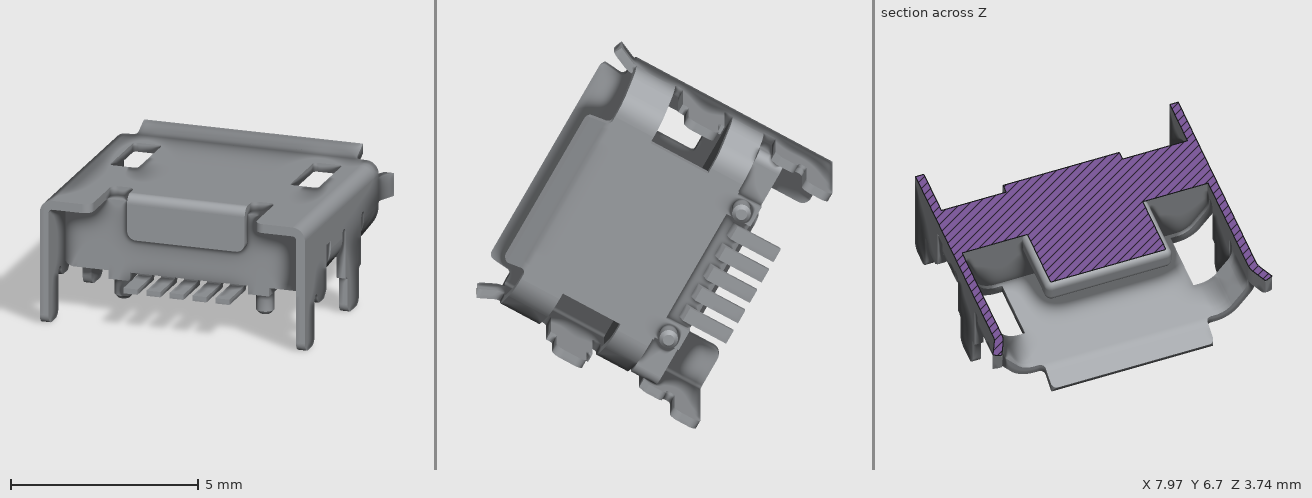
import cadquery as cq
import math


sheet = 0.25
shell_width = 7.5
shell_height = 2.5
shell_length = 6.0
half_width = shell_width / 2
top_bend_radius = 0.35
leg_bottom = -1.0

floor_half_width = 2.58
taper_angle = math.radians(52.5)
floor_bend_radius = 0.843
side_bend_top = 1.27
side_bend_radius = 0.854

wrap_rear = 2.11
slot_width = 0.24
rear_slot_start = 3.06
front_slot_start = 4.58
slot_top = 1.49
side_gap_rear = 1.74
floor_half_strip = 2.4
floor_lip_half_width = 2.34
floor_lip_rear = 2.08

mid_leg_start = 3.48
mid_leg_end = 4.40
shoulder_z = 0.05
shoulder_run = 0.1
leg_corner_radius = 0.25
rear_leg_width = 0.8
leg_relief_radius = 0.12
leg_relief_top = 0.36
side_tab_chamfer = 0.18
tab_round = 0.15

flare_angle = math.radians(25)
flare_radius = 0.35
flare_reach = 0.7
flap_reach = 0.687
top_lip_width = 6.2
bottom_lip_width = 4.62
flap_width = 0.65
flap_center_z = 1.695
lip_root_radius = 0.15
flap_root_radius = 0.04
flare_tip_radius = 0.15

window_inner = 2.15
window_outer = 2.95
window_rear = 3.36
window_front = 5.35
window_corner = 0.1
notch_inner = 1.665
notch_outer = 2.31
notch_front = 1.74
notch_corner = 0.18
wing_corner = 0.25

cover_rear = 1.10
cover_bottom = 1.25
cover_corner = 0.25

insert_rear = cover_rear + sheet
insert_front = 2.95
insert_half_width = 3.54
insert_bottom = 0.24
insert_corner = 0.3
foot_outer = 2.27
tongue_width = 3.6
tongue_bottom = 1.33
tongue_thickness = 0.62
tongue_edge_radius = 0.18
tongue_front = 4.88
peg_spacing = 4.0
peg_y = 1.81
peg_diameter = 0.5
peg_bottom = -0.62
peg_chamfer = 0.1

contact_count = 5
contact_pitch = 0.65
contact_width = 0.4
contact_thickness = 0.15
contact_rear = 0.33
contact_bend_y = 1.5
contact_rise = 0.2


def box(x0, x1, y0, y1, z0, z1):
    return cq.Workplane("XY").box(x1 - x0, y1 - y0, z1 - z0, centered=False).translate((x0, y0, z0))


def both_sides(body):
    return body.union(body.mirror("YZ"))


def along_y(profile, y0, y1):
    """Extrude an XZ sketch from y0 to y1."""
    return profile.extrude(y0 - y1).translate((0, y0, 0))


def side_plate(outline):
    """Extrude a YZ sketch through the thickness of the +X side wall."""
    return outline.extrude(sheet).translate((half_width - sheet, 0, 0))


def shell_section():
    """Closed outer cross-section of the shell, in XZ."""
    s, c = math.sin(taper_angle), math.cos(taper_angle)
    s_half, c_half = math.sin(taper_angle / 2), math.cos(taper_angle / 2)
    floor_end = (floor_half_width + floor_bend_radius * s, floor_bend_radius * (1 - c))
    floor_mid = (floor_half_width + floor_bend_radius * s_half, floor_bend_radius * (1 - c_half))
    side_center_x = half_width - side_bend_radius
    turn = math.pi / 2 - taper_angle
    slope_end = (
        side_center_x + side_bend_radius * math.cos(turn),
        side_bend_top - side_bend_radius * math.sin(turn),
    )
    side_mid = (
        side_center_x + side_bend_radius * math.cos(turn / 2),
        side_bend_top - side_bend_radius * math.sin(turn / 2),
    )
    shoulder = top_bend_radius * (1 - math.sqrt(0.5))
    return (
        cq.Workplane("XZ")
        .moveTo(0, 0)
        .lineTo(floor_half_width, 0)
        .threePointArc(floor_mid, floor_end)
        .lineTo(*slope_end)
        .threePointArc(side_mid, (half_width, side_bend_top))
        .lineTo(half_width, shell_height - top_bend_radius)
        .threePointArc(
            (half_width - shoulder, shell_height - shoulder),
            (half_width - top_bend_radius, shell_height),
        )
        .lineTo(0, shell_height)
        .mirrorY()
    )


def shell_ring(y0, y1):
    """Fully wrapped stretch of the shell."""
    outer = along_y(shell_section(), y0, y1)
    return outer.cut(shell_core(y0, y1))


def shell_core(y0, y1):
    """Space enclosed by the wrapped shell."""
    return along_y(shell_section().offset2D(-sheet), y0, y1)


def top_channel():
    """Top plate and side walls down to the side bends, with side slots and gaps."""
    above_bends = box(-half_width, half_width, 0, shell_length, side_bend_top, shell_height)
    channel = shell_ring(0, shell_length).intersect(above_bends)
    for start in (rear_slot_start, front_slot_start):
        slot_end = (
            cq.Workplane("YZ")
            .center(start + slot_width / 2, slot_top - slot_width / 2)
            .circle(slot_width / 2)
            .extrude(half_width, both=True)
        )
        slot_stem = box(
            -half_width, half_width, start, start + slot_width, side_bend_top, slot_top - slot_width / 2
        )
        channel = channel.cut(slot_end).cut(slot_stem)
    gap = box(-half_width, half_width, side_gap_rear, wrap_rear, side_bend_top, slot_top)
    return channel.cut(gap)


def mid_leg():
    """Leg between the two side slots, narrowing at its shoulders."""
    upper_start = rear_slot_start + slot_width
    outline = (
        cq.Workplane("YZ")
        .moveTo(upper_start, side_bend_top)
        .lineTo(upper_start, shoulder_z)
        .lineTo(upper_start + shoulder_run, shoulder_z)
        .lineTo(mid_leg_start, 0)
        .lineTo(mid_leg_start, leg_bottom)
        .lineTo(mid_leg_end, leg_bottom)
        .lineTo(mid_leg_end, 0)
        .lineTo(front_slot_start - shoulder_run, shoulder_z)
        .lineTo(front_slot_start, shoulder_z)
        .lineTo(front_slot_start, side_bend_top)
        .close()
    )
    return side_plate(outline).edges("|X and <Z").fillet(leg_corner_radius)


def rear_leg():
    """Rear side wall: a short tab, a round relief and the rear leg."""
    tab_sag = tab_round * (1 - math.sqrt(0.5))
    relief_front = rear_leg_width + 2 * leg_relief_radius
    relief_center_z = leg_relief_top - leg_relief_radius
    outline = (
        cq.Workplane("YZ")
        .moveTo(0, side_bend_top)
        .lineTo(0, leg_bottom)
        .lineTo(rear_leg_width, leg_bottom)
        .lineTo(rear_leg_width, relief_center_z)
        .threePointArc(
            (rear_leg_width + leg_relief_radius, leg_relief_top), (relief_front, relief_center_z)
        )
        .threePointArc(
            (relief_front + tab_sag, shoulder_z + tab_sag),
            (relief_front + tab_round, shoulder_z),
        )
        .lineTo(side_gap_rear - side_tab_chamfer, shoulder_z)
        .lineTo(side_gap_rear, shoulder_z + side_tab_chamfer)
        .lineTo(side_gap_rear, side_bend_top)
        .close()
    )
    return side_plate(outline).edges("|X and <Z").fillet(leg_corner_radius)


def flare(width, reach, root_radius):
    """Outward-bent strip centred on X = 0, its outer face starting at Y = 0, Z = 0."""
    s, c = math.sin(flare_angle), math.cos(flare_angle)
    s_half, c_half = math.sin(flare_angle / 2), math.cos(flare_angle / 2)
    inner_radius = flare_radius + sheet
    straight = (reach - inner_radius * s) / c
    outer_end = (flare_radius * s, flare_radius * (1 - c))
    inner_end = (inner_radius * s, flare_radius - inner_radius * c)
    bent = (
        cq.Workplane("YZ")
        .moveTo(0, 0)
        .threePointArc((flare_radius * s_half, flare_radius * (1 - c_half)), outer_end)
        .lineTo(outer_end[0] + straight * c, outer_end[1] + straight * s)
        .lineTo(inner_end[0] + straight * c, inner_end[1] + straight * s)
        .lineTo(*inner_end)
        .threePointArc((inner_radius * s_half, flare_radius - inner_radius * c_half), (0, -sheet))
        .close()
        .extrude(width / 2 + root_radius, both=True)
    )
    half = width / 2
    tip = flare_tip_radius
    plan = (
        cq.Workplane("XY")
        .moveTo(0, 0)
        .lineTo(half + root_radius, 0)
        .radiusArc((half, root_radius), root_radius)
        .lineTo(half, reach - tip)
        .radiusArc((half - tip, reach), -tip)
        .lineTo(0, reach)
        .mirrorY()
        .extrude(shell_height, both=True)
    )
    return bent.intersect(plan)


def mouth_flares():
    """Top and bottom lips and the two side flaps."""
    top = flare(top_lip_width, flare_reach, lip_root_radius).translate((0, shell_length, shell_height))
    bottom = flare(bottom_lip_width, flare_reach, lip_root_radius).mirror("XY")
    bottom = bottom.translate((0, shell_length, 0))
    flap = (
        flare(flap_width, flap_reach, flap_root_radius)
        .rotate((0, 0, 0), (0, 1, 0), 90)
        .translate((half_width, shell_length, flap_center_z))
    )
    return top.union(bottom).union(both_sides(flap))


def top_openings():
    """Windows and rear notches cut through the top plate."""
    z0, z1 = shell_height - sheet, shell_height
    window = box(window_inner, window_outer, window_rear, window_front, z0, z1)
    window = window.edges("|Z").fillet(window_corner)
    notch = box(notch_inner, notch_outer, 0, notch_front, z0, z1).edges("|Z and >Y").fillet(notch_corner)
    middle = box(0, notch_inner, 0, insert_rear, z0, z1)
    wing_disc = (
        cq.Workplane("XY", origin=(notch_outer + wing_corner, wing_corner, z0))
        .circle(wing_corner)
        .extrude(sheet)
    )
    wing_round = box(notch_outer, notch_outer + wing_corner, 0, wing_corner, z0, z1).cut(wing_disc)
    return both_sides(window.union(notch).union(middle).union(wing_round))


def rear_cover():
    """Flap folded down from the top plate over the back of the insert."""
    cover = (
        cq.Workplane("YZ")
        .moveTo(insert_rear, shell_height)
        .radiusArc((cover_rear, shell_height - sheet), -sheet)
        .lineTo(cover_rear, cover_bottom)
        .lineTo(insert_rear, cover_bottom)
        .close()
        .extrude(notch_inner, both=True)
    )
    return cover.edges("|Y and <Z").fillet(cover_corner)


def shell():
    body = top_channel()
    body = body.union(shell_ring(wrap_rear, rear_slot_start))
    body = body.union(shell_ring(front_slot_start + slot_width, shell_length))
    body = body.cut(top_openings()).union(rear_cover())
    body = body.union(box(-floor_half_strip, floor_half_strip, wrap_rear, shell_length, 0, sheet))
    body = body.union(box(-floor_lip_half_width, floor_lip_half_width, floor_lip_rear, wrap_rear, 0, sheet))
    body = body.union(both_sides(mid_leg().union(rear_leg())))
    return body.union(mouth_flares())


def insert():
    """Plastic body with feet, locating pegs and the tongue."""
    ceiling = shell_height - sheet
    back = box(-insert_half_width, insert_half_width, insert_rear, wrap_rear, insert_bottom, ceiling)
    back = back.edges("|Y and <Z").fillet(insert_corner)
    plug = shell_core(wrap_rear, insert_front)
    foot = box(notch_inner, foot_outer, insert_rear, wrap_rear, 0, insert_bottom)
    peg = (
        cq.Workplane("XY", origin=(peg_spacing / 2, peg_y, peg_bottom))
        .circle(peg_diameter / 2)
        .extrude(insert_bottom - peg_bottom)
        .faces("<Z")
        .chamfer(peg_chamfer)
    )
    tongue = box(
        -tongue_width / 2, tongue_width / 2, insert_front, tongue_front,
        tongue_bottom, tongue_bottom + tongue_thickness,
    )
    tongue = tongue.edges("|Y or >Y").fillet(tongue_edge_radius)
    return back.union(plug).union(tongue).union(both_sides(foot.union(peg)))


def contact(x):
    """Flat solder tail that climbs into the insert at its front end."""
    return (
        cq.Workplane("YZ")
        .moveTo(contact_rear, 0)
        .lineTo(contact_bend_y + contact_thickness, 0)
        .lineTo(contact_bend_y + contact_thickness + contact_rise, insert_bottom + contact_thickness)
        .lineTo(contact_bend_y + contact_rise, insert_bottom + contact_thickness)
        .lineTo(contact_bend_y, contact_thickness)
        .lineTo(contact_rear, contact_thickness)
        .close()
        .extrude(contact_width / 2, both=True)
        .translate((x, 0, 0))
    )


result = shell().union(insert())
for index in range(contact_count):
    result = result.union(contact((index - (contact_count - 1) / 2) * contact_pitch))